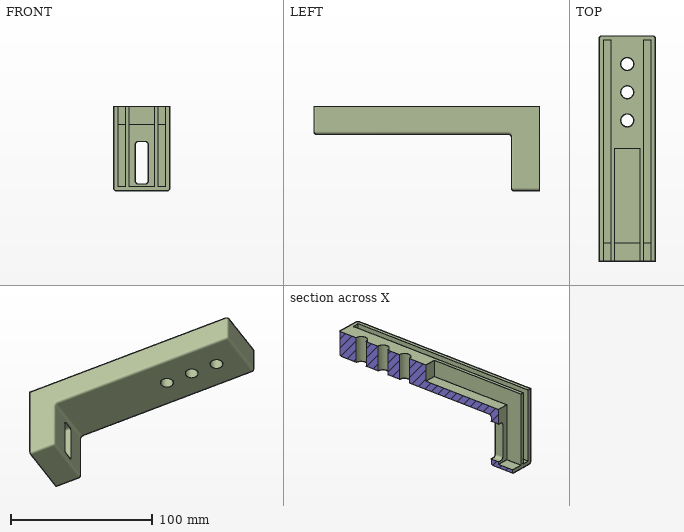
import cadquery as cq

width = 40.0
length = 160.0
height = 60.0
arm_thickness = 20.0
leg_thickness = 20.0
edge_radius = 2.0
inner_corner_radius = 2.0

wall = 3.0
hollow_depth = 13.0
side_channel_width = 5.35
center_pocket_width = 18.0
center_pocket_end = 80.0

hole_diameter = 9.0
hole_pitch = 20.0
hole_count = 3

slot_width = 9.0
slot_height = 30.0
slot_corner_radius = 2.0
slot_bottom = 5.0

front_y = -length / 2
far_y = length / 2
underside_z = height - arm_thickness
leg_back_y = front_y + leg_thickness
side_channel_x = (width - side_channel_width) / 2 - wall


def extrude_across(points, center_x, extent):
    """Solid with the given (y, z) outline, centred on center_x and `extent` wide along X."""
    outline = cq.Workplane("YZ", origin=(center_x, 0, 0)).polyline(points).close()
    return outline.extrude(extent / 2, both=True)


def make_body():
    """L-shaped block, rounded everywhere except at the rims of its top and front faces."""
    points = [
        (front_y, 0),
        (leg_back_y, 0),
        (leg_back_y, underside_z),
        (far_y, underside_z),
        (far_y, height),
        (front_y, height),
    ]
    block = extrude_across(points, 0, width)
    inner_corner = cq.selectors.NearestToPointSelector((0, leg_back_y, underside_z))
    block = block.edges(inner_corner).fillet(inner_corner_radius)
    sharp_edges = block.faces(">Z or <Y").edges().vals()
    outer_edges = block.faces("<X or >X or >Y or <Z").edges().vals()
    rounded_edges = [
        edge for edge in outer_edges if not any(edge.isSame(sharp) for sharp in sharp_edges)
    ]
    return block.newObject(rounded_edges).fillet(edge_radius)


def make_hollow(center_x, extent, end_y):
    """L-shaped hollow running up the leg and along the arm as far as end_y."""
    floor_z = height - hollow_depth
    leg_floor_y = front_y + hollow_depth
    points = [
        (front_y, wall),
        (leg_floor_y, wall),
        (leg_floor_y, floor_z),
        (end_y, floor_z),
        (end_y, height),
        (front_y, height),
    ]
    return extrude_across(points, center_x, extent)


def make_mounting_holes():
    """Row of holes down through the arm, starting one pitch from the far end."""
    centers = [(0, far_y - hole_pitch * (index + 1)) for index in range(hole_count)]
    return cq.Workplane("XY").pushPoints(centers).circle(hole_diameter / 2).extrude(height)


def make_leg_slot():
    """Rounded rectangular slot through the full thickness of the leg."""
    slot = cq.Workplane("XY").box(slot_width, leg_thickness, slot_height)
    slot = slot.edges("|Y").fillet(slot_corner_radius)
    return slot.translate((0, front_y + leg_thickness / 2, slot_bottom + slot_height / 2))


result = make_body()
for channel_x in (-side_channel_x, side_channel_x):
    result = result.cut(make_hollow(channel_x, side_channel_width, far_y - wall))
result = result.cut(make_hollow(0, center_pocket_width, far_y - center_pocket_end))
result = result.cut(make_mounting_holes())
result = result.cut(make_leg_slot())